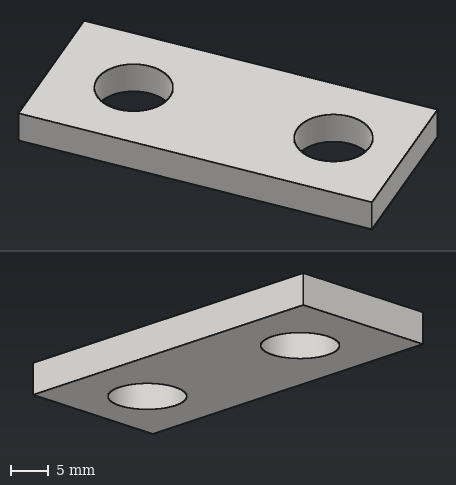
import cadquery as cq

length = 50.8
width = 22.35
thickness = 4.5

hole_diameter = 10.41
hole_spacing = 28.7
left_edge_to_hole = 11.85

left_hole_x = -length / 2 + left_edge_to_hole
right_hole_x = left_hole_x + hole_spacing


def make_plate():
    """Rectangular plate centred on the origin."""
    return cq.Workplane("XY").box(length, width, thickness)


def drill_holes(plate):
    """Drill both holes straight through the plate from its top face."""
    hole_centres = [(left_hole_x, 0), (right_hole_x, 0)]
    return plate.faces(">Z").workplane().pushPoints(hole_centres).hole(hole_diameter)


result = drill_holes(make_plate())